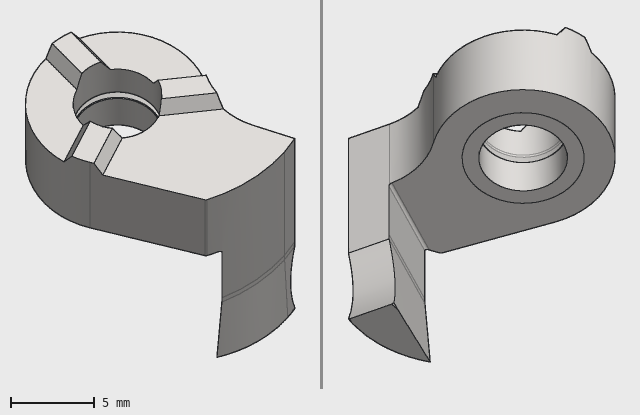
import cadquery as cq
import math

TOTAL_HEIGHT = 16.65
TOOTH_HEIGHT = 0.92
HOUSING_HEIGHT = 5.33
SEAT_Z = TOTAL_HEIGHT - TOOTH_HEIGHT
UNDERSIDE_Z = SEAT_Z - HOUSING_HEIGHT
BLEND_TOP_Z = 5.9
BLEND_BOTTOM_Z = 5.5
BLEND_GROWTH = 0.035

HEAD_RADIUS = 11.0 / 2
BORE_RADIUS = 5.3 / 2

SLEEVE_RADIUS = 7.3 / 2
SLEEVE_PEAK_Z = 12.99
SLEEVE_SHOULDER_Z = 12.5
SLEEVE_CHAMFER = 0.05
BORE_END_Z = 13.52
COUNTERBORE_CONE_Z = 12.65
COUNTERBORE_FILLET = 0.17

NECK_RADIUS = 4.78
ARM_BACK_Y = 1.53
ARM_FRONT_ANGLE = math.radians(5.0)
END_CENTER = (0.57, 2.63)
END_RADIUS = 10.34
LAND_START_Y = 0.33
ARM_END_X = 10.82
ARM_CORNER_RADIUS = 0.17

TOOTH_ANGLES = (30, 150, 270)
TOOTH_BASE_WIDTH = 2.53
TOOTH_TOP_WIDTH = 1.43

LEG_INNER_BACK_X = 8.15
LEG_FRONT_Y = -4.1
LEG_FILLET = 0.2
TIP_SHIFT_INNER_X = -0.18
TIP_SHIFT_OUTER_X = 0.22
TIP_SHIFT_FRONT_Y = -0.47
TIP_BACK_Y = 1.2
TIP_FRONT_RISE = 0.62
TIP_BEVEL_WIDTH = 0.15
TIP_BEVEL_HEIGHT = 0.1
HOLLOW_DEEPEST = (0.85, 2.25)

CUT_MARGIN = 3.33
CONE_EDGE_MARGIN = 0.08


def end_arc_x(y):
    """X of the arc-shaped arm end at a given Y."""
    return END_CENTER[0] + math.sqrt(END_RADIUS**2 - (y - END_CENTER[1]) ** 2)


def arm_front_points():
    """Tangent point of the front edge on the head, and its corner with the end arc."""
    dx, dy = math.cos(ARM_FRONT_ANGLE), math.sin(ARM_FRONT_ANGLE)
    tangent = (HEAD_RADIUS * dy, -HEAD_RADIUS * dx)
    to_start = (tangent[0] - END_CENTER[0], tangent[1] - END_CENTER[1])
    along = to_start[0] * dx + to_start[1] * dy
    distance_sq = to_start[0] ** 2 + to_start[1] ** 2
    length = -along + math.sqrt(along**2 - distance_sq + END_RADIUS**2)
    return tangent, (tangent[0] + length * dx, tangent[1] + length * dy)


def housing_outline(height):
    """Solid with the outline of the head and arm, standing on the underside."""
    neck_y = ARM_BACK_Y + NECK_RADIUS
    center_distance = HEAD_RADIUS + NECK_RADIUS
    neck_x = math.sqrt(center_distance**2 - neck_y**2)
    ratio = HEAD_RADIUS / center_distance
    neck_start = (neck_x * ratio, neck_y * ratio)
    start_angle = math.atan2(neck_y, neck_x)
    neck_angle = (start_angle + math.pi + 1.5 * math.pi) / 2
    neck_middle = (
        neck_x + NECK_RADIUS * math.cos(neck_angle),
        neck_y + NECK_RADIUS * math.sin(neck_angle),
    )
    tangent, corner = arm_front_points()
    middle_y = (LAND_START_Y + corner[1]) / 2
    outline = (
        cq.Workplane("XY", origin=(0, 0, UNDERSIDE_Z))
        .moveTo(*tangent)
        .lineTo(*corner)
        .threePointArc((end_arc_x(middle_y), middle_y), (end_arc_x(LAND_START_Y), LAND_START_Y))
        .lineTo(ARM_END_X, ARM_BACK_Y)
        .lineTo(neck_x, ARM_BACK_Y)
        .threePointArc(neck_middle, neck_start)
        .threePointArc((-HEAD_RADIUS, 0), tangent)
        .close()
        .extrude(height)
    )
    corner_edge = cq.selectors.NearestToPointSelector((*corner, UNDERSIDE_Z + height / 2))
    return outline.edges(corner_edge).fillet(ARM_CORNER_RADIUS)


def make_tooth(angle):
    """Radial trapezoidal tooth on the seat, longer than the head."""
    return (
        cq.Workplane("YZ")
        .moveTo(-TOOTH_BASE_WIDTH / 2, SEAT_Z)
        .lineTo(TOOTH_BASE_WIDTH / 2, SEAT_Z)
        .lineTo(TOOTH_TOP_WIDTH / 2, TOTAL_HEIGHT)
        .lineTo(-TOOTH_TOP_WIDTH / 2, TOTAL_HEIGHT)
        .close()
        .extrude(HEAD_RADIUS + CUT_MARGIN)
        .rotate((0, 0, 0), (0, 0, 1), angle)
    )


def make_bore():
    """Bore opening through a rounded cone into the counterbore for the sleeve."""
    cutter = (
        cq.Workplane("XZ")
        .moveTo(0, UNDERSIDE_Z)
        .lineTo(SLEEVE_RADIUS, UNDERSIDE_Z)
        .lineTo(SLEEVE_RADIUS, COUNTERBORE_CONE_Z)
        .lineTo(BORE_RADIUS, BORE_END_Z)
        .lineTo(BORE_RADIUS, TOTAL_HEIGHT)
        .lineTo(0, TOTAL_HEIGHT)
        .close()
        .revolve(360, (0, 0, 0), (0, 1, 0))
    )
    cone_edges = cq.selectors.BoxSelector(
        (-HEAD_RADIUS, -HEAD_RADIUS, COUNTERBORE_CONE_Z - CONE_EDGE_MARGIN),
        (HEAD_RADIUS, HEAD_RADIUS, BORE_END_Z + CONE_EDGE_MARGIN),
    )
    return cutter.edges("%CIRCLE").edges(cone_edges).fillet(COUNTERBORE_FILLET)


def leg_section(z, growth):
    """Closed section of the leg; growth runs from 0 at the leg to 1 at the tip."""
    inner_shift = growth * TIP_SHIFT_INNER_X
    outer_shift = growth * TIP_SHIFT_OUTER_X
    front_shift = growth * TIP_SHIFT_FRONT_Y
    front = (end_arc_x(LEG_FRONT_Y) + inner_shift, LEG_FRONT_Y + front_shift)
    middle_y = (LAND_START_Y + LEG_FRONT_Y) / 2
    return (
        cq.Workplane("XY", origin=(0, 0, z))
        .moveTo(LEG_INNER_BACK_X + inner_shift, ARM_BACK_Y)
        .lineTo(*front)
        .threePointArc(
            (end_arc_x(middle_y) + outer_shift, middle_y + front_shift / 2),
            (end_arc_x(LAND_START_Y) + outer_shift, LAND_START_Y),
        )
        .lineTo(ARM_END_X + outer_shift, ARM_BACK_Y)
        .close()
    )


def loft_leg(lower, upper):
    """Straight-sided loft between two leg sections."""
    return cq.Workplane(cq.Solid.makeLoft([lower.wires().val(), upper.wires().val()], True))


def make_leg():
    """Straight leg flowing through a short blend into the widening blade."""
    blend_top = leg_section(BLEND_TOP_Z, 0)
    blend_bottom = leg_section(BLEND_BOTTOM_Z, BLEND_GROWTH)
    tip = leg_section(0, 1)
    straight = leg_section(BLEND_TOP_Z, 0).extrude(UNDERSIDE_Z - BLEND_TOP_Z)
    blend = loft_leg(blend_bottom, blend_top)
    blade = loft_leg(tip, blend_bottom)
    return straight.union(blend).union(blade)


def make_tip_cut():
    """Wedge that slopes the tip upward from its back edge to its front edge."""
    front_y = LEG_FRONT_Y + TIP_SHIFT_FRONT_Y
    return (
        cq.Workplane("YZ")
        .moveTo(TIP_BACK_Y, 0)
        .lineTo(front_y, TIP_FRONT_RISE)
        .lineTo(front_y - CUT_MARGIN, TIP_FRONT_RISE)
        .lineTo(front_y - CUT_MARGIN, 0)
        .close()
        .extrude(TOTAL_HEIGHT)
    )


def make_hollow_cut():
    """Round hollow in the back of the blade."""
    return (
        cq.Workplane("YZ")
        .moveTo(ARM_BACK_Y, BLEND_BOTTOM_Z)
        .threePointArc(HOLLOW_DEEPEST, (TIP_BACK_Y, 0))
        .lineTo(ARM_BACK_Y + CUT_MARGIN, 0)
        .lineTo(ARM_BACK_Y + CUT_MARGIN, BLEND_BOTTOM_Z)
        .close()
        .extrude(TOTAL_HEIGHT)
    )


def make_tip_bevel(corner_x, direction):
    """Small wedge along Y at a lower corner of the tip; direction points into the blade."""
    return (
        cq.Workplane("XZ")
        .moveTo(corner_x - direction * TIP_BEVEL_WIDTH, 0)
        .lineTo(corner_x + direction * TIP_BEVEL_WIDTH, 0)
        .lineTo(corner_x - direction * TIP_BEVEL_WIDTH, 2 * TIP_BEVEL_HEIGHT)
        .close()
        .extrude(CUT_MARGIN, both=True)
    )


def make_housing():
    """Head and arm with teeth, bore, leg and blade in one body."""
    teeth = make_tooth(TOOTH_ANGLES[0])
    for angle in TOOTH_ANGLES[1:]:
        teeth = teeth.union(make_tooth(angle))
    teeth = teeth.intersect(housing_outline(HOUSING_HEIGHT + TOOTH_HEIGHT))
    leg = make_leg().cut(make_tip_cut()).cut(make_hollow_cut())
    leg = leg.cut(make_tip_bevel(LEG_INNER_BACK_X + TIP_SHIFT_INNER_X, 1))
    leg = leg.cut(make_tip_bevel(ARM_END_X + TIP_SHIFT_OUTER_X, -1))
    body = housing_outline(HOUSING_HEIGHT).union(leg)
    middle_x = (LEG_INNER_BACK_X + end_arc_x(LEG_FRONT_Y)) / 2
    middle_y = (ARM_BACK_Y + LEG_FRONT_Y) / 2
    inner_edge = cq.selectors.NearestToPointSelector((middle_x, middle_y, UNDERSIDE_Z))
    body = body.edges(inner_edge).fillet(LEG_FILLET)
    return body.union(teeth).cut(make_bore())


def make_sleeve():
    """Sleeve whose top is a cone rising to a small chamfer around the bore."""
    return (
        cq.Workplane("XZ")
        .moveTo(BORE_RADIUS, UNDERSIDE_Z)
        .lineTo(SLEEVE_RADIUS, UNDERSIDE_Z)
        .lineTo(SLEEVE_RADIUS, SLEEVE_SHOULDER_Z)
        .lineTo(BORE_RADIUS + SLEEVE_CHAMFER, SLEEVE_PEAK_Z)
        .lineTo(BORE_RADIUS, SLEEVE_PEAK_Z - SLEEVE_CHAMFER)
        .close()
        .revolve(360, (0, 0, 0), (0, 1, 0))
    )


housing = make_housing()
sleeve = make_sleeve()
result = cq.Compound.makeCompound([housing.solids().val(), sleeve.val()])